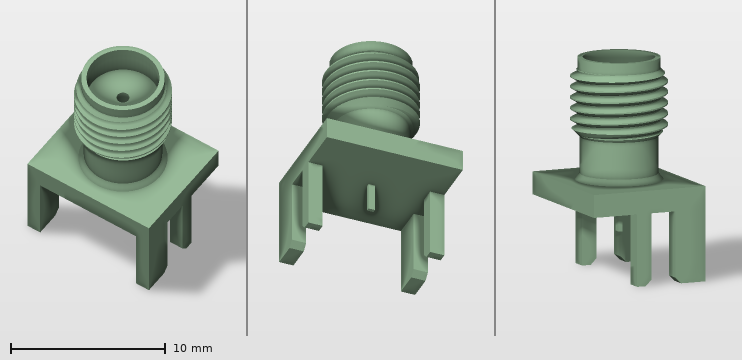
import cadquery as cq
import math

plate_x = 9.53
plate_y = 7.92
plate_bottom = 4.75
plate_thickness = 1.5
plate_top = plate_bottom + plate_thickness
leg_thickness = 1.0
front_leg_width = 2.13
middle_leg_width = 1.01
leg_gap = 1.71
leg_chamfer = 0.4

total_height = 14.27
neck_radius = 2.54
flare_size = 0.4
flare_radius = 2.88
thread_bottom = 9.06
thread_top = 13.51
thread_radius = 3.17
rim_radius = 2.7
bore_radius = 2.35
socket_depth = 1.98
socket_floor = total_height - socket_depth

full_turns = 5
full_turns_height = 3.52
pitch = full_turns_height / full_turns
root_radius = 2.71
root_flat = 0.088
crest_flat = 0.088
groove_overshoot = 0.03
groove_turns = 7.4
groove_start = 8.66
groove_start_angle = 180.0

contact_radius = 0.5
contact_hole_radius = 0.41
contact_hole_depth = 2.0
hole_tip_angle = 118.0
tail_bottom = 2.83
tail_width = 0.45
tail_thickness = 0.25


def make_leg_pair(front_y, width, chamfered_side):
    """Pair of opposite legs with one bottom edge chamfered, facing -Y or +Y."""
    legs = []
    for side in (-1, 1):
        leg_x = side * (plate_x - leg_thickness) / 2
        leg = (
            cq.Workplane("XY")
            .center(leg_x, front_y + width / 2)
            .rect(leg_thickness, width)
            .extrude(plate_bottom)
            .faces("<Z")
            .edges(chamfered_side)
            .chamfer(leg_chamfer)
        )
        legs.append(leg)
    return legs


def make_barrel_envelope():
    """Flared neck, chamfered thread blank and plain rim, revolved about Z."""
    bottom_chamfer = thread_radius - neck_radius
    top_chamfer = thread_radius - rim_radius
    profile = [
        (0, plate_top),
        (flare_radius, plate_top),
        (neck_radius, plate_top + flare_size),
        (neck_radius, thread_bottom),
        (thread_radius, thread_bottom + bottom_chamfer),
        (thread_radius, thread_top - top_chamfer),
        (rim_radius, thread_top),
        (rim_radius, total_height),
        (0, total_height),
    ]
    return cq.Workplane("XZ").polyline(profile).close().revolve(360, (0, 0), (0, 1))


def make_thread_groove():
    """V groove swept along a helix that runs out past both thread chamfers."""
    root_half = root_flat / 2
    crest_half = (pitch - crest_flat) / 2
    flank_slope = (crest_half - root_half) / (thread_radius - root_radius)
    outer_radius = thread_radius + groove_overshoot
    outer_half = crest_half + groove_overshoot * flank_slope
    helix = cq.Wire.makeHelix(pitch, groove_turns * pitch, root_radius)
    return (
        cq.Workplane("XZ")
        .polyline([
            (root_radius, root_half),
            (outer_radius, outer_half),
            (outer_radius, -outer_half),
            (root_radius, -root_half),
        ])
        .close()
        .sweep(cq.Workplane(obj=helix), isFrenet=True)
        .rotate((0, 0, 0), (0, 0, 1), groove_start_angle)
        .translate((0, 0, groove_start))
    )


def make_barrel():
    """Grooved bar stock trimmed to the turned envelope of the barrel."""
    stock = (
        cq.Workplane("XY", origin=(0, 0, plate_top))
        .circle(thread_radius)
        .extrude(total_height - plate_top)
    )
    return stock.cut(make_thread_groove()).intersect(make_barrel_envelope())


def make_housing():
    """Plate, four legs and threaded barrel with a through bore."""
    housing = (
        cq.Workplane("XY", origin=(0, 0, plate_bottom))
        .rect(plate_x, plate_y)
        .extrude(plate_thickness)
        .union(make_barrel())
    )
    front_leg_y = -plate_y / 2
    middle_leg_y = front_leg_y + front_leg_width + leg_gap
    front_legs = make_leg_pair(front_leg_y, front_leg_width, ">Y")
    middle_legs = make_leg_pair(middle_leg_y, middle_leg_width, "<Y")
    for leg in front_legs + middle_legs:
        housing = housing.union(leg)
    bore = (
        cq.Workplane("XY", origin=(0, 0, plate_bottom))
        .circle(bore_radius)
        .extrude(total_height - plate_bottom)
    )
    return housing.cut(bore)


def make_insulator():
    """Sleeve that fills the bore up to the socket floor."""
    return (
        cq.Workplane("XY", origin=(0, 0, plate_bottom))
        .circle(bore_radius)
        .circle(contact_radius)
        .extrude(socket_floor - plate_bottom)
    )


def make_contact():
    """Round pin with a drilled socket on top and a flat solder tail below."""
    body = (
        cq.Workplane("XY", origin=(0, 0, plate_bottom))
        .circle(contact_radius)
        .extrude(socket_floor - plate_bottom)
    )
    tail = (
        cq.Workplane("XY", origin=(0, 0, tail_bottom))
        .rect(tail_width, tail_thickness)
        .extrude(plate_bottom - tail_bottom)
    )
    hole_bottom = socket_floor - contact_hole_depth
    tip_depth = contact_hole_radius / math.tan(math.radians(hole_tip_angle / 2))
    hole = (
        cq.Workplane("XZ")
        .polyline([
            (0, hole_bottom - tip_depth),
            (contact_hole_radius, hole_bottom),
            (contact_hole_radius, socket_floor),
            (0, socket_floor),
        ])
        .close()
        .revolve(360, (0, 0), (0, 1))
    )
    return body.union(tail).cut(hole)


housing = make_housing()
insulator = make_insulator()
contact = make_contact()

result = cq.Compound.makeCompound([housing.solids().val(), insulator.val(), contact.solids().val()])